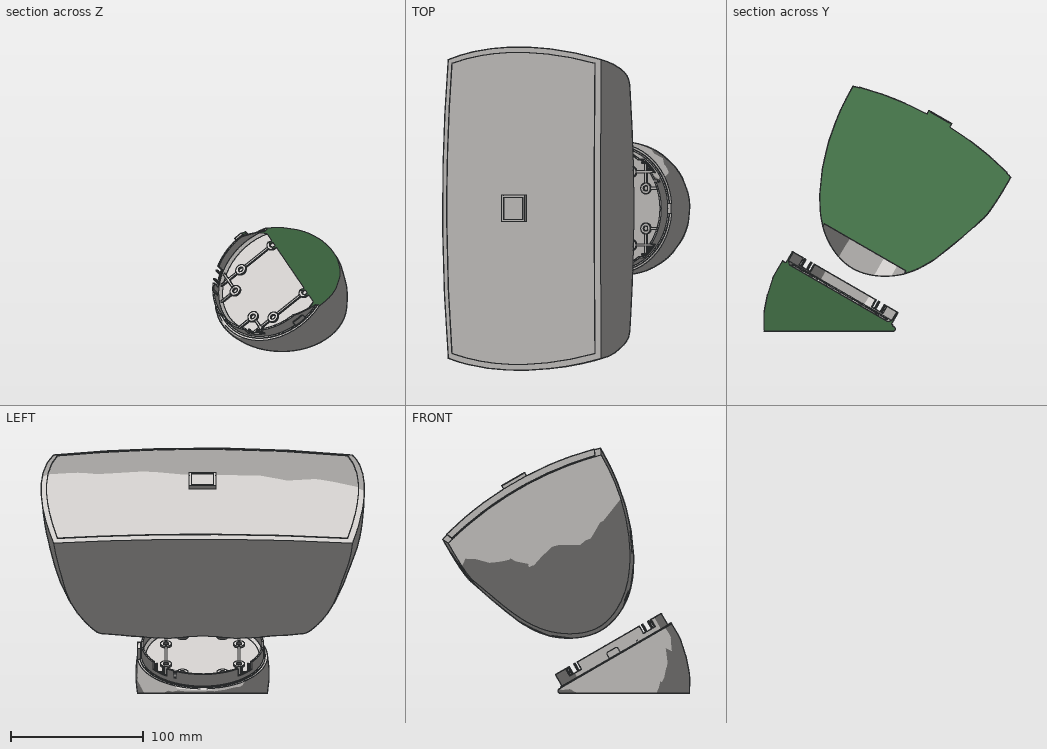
import cadquery as cq
import math

TILT = 30.0
CABINET_OFFSET = 8.0
FACE_EDGE_HEIGHT = 169.1
HALF_WIDTH = 68.6
BACK_HEIGHT = 48.7
HALF_LENGTH = 122.0
BACK_SPANS = 8
FACE_CROWN = 9.5
FACE_SAG = 5.5
WIDTH_TAPER = 2.7
BACK_RISE = 12.2
END_BOW = 8.5
FLAT_HALF_LENGTH = 58.5
END_OUTLINE = [(113.0, 121.7), (101.7, 90.8), (83.2, 65.0)]
END_SHALLOWING = 0.15
END_SECTION_REACH = 69.4
CABINET_TOP = 187.5
END_SLOPE = 0.2
END_BOTTOM = 48.0

GRILLE_INSET = 4.6
GRILLE_STEP = 0.5
GRILLE_BASE = 146.0
CORNER_HALF_LENGTH = 113.7
CORNER_HALF_WIDTH = 66.7

SOCKET_DIAMETER = 70.5
SOCKET_CEILING = 68.1

BADGE_SIZE = 20.0
BADGE_TOP = 181.3
BADGE_THICKNESS = 3.7
BADGE_RIM = 1.7
BADGE_RECESS = 0.5

FOOT_DIAMETER = 97.8
BEND_DIAMETER = 100.3
BEND_CENTER = (-1.7, 14.5)
FLANGE_CENTER = (-6.8, 27.7)
FLANGE_THICKNESS = 1.2
FLANGE_STEP = 0.7
COLLAR_FOOT_WIDTH = 1.2
COLLAR_FOOT_HEIGHT = 0.7

COLLAR_DIAMETER = 92.0
COLLAR_HEIGHT = 10.7
COLLAR_WALL = 1.2
FLOOR_HEIGHT = 1.0
FLOOR_CHAMFER = 2.2

BOSS_DIAMETER = 8.3
BOSS_HOLE = 4.0
BOSS_HEIGHT = 1.5
BOSS_NEAR = 15.0
BOSS_FAR = 27.5
RIB_WIDTH = 1.7
RIB_HEIGHT = 1.2

NOTCH_HALF_ANGLE = 9.0
NOTCH_FLOOR = 4.5
POST_ANGLE = 4.6
POST_WIDTH = 0.7
DIAGONALS = (45, 135, 225, 315)
SLOT_WIDTH = 1.7
SLOT_FLOOR = 4.9
SLOT_OFFSET = 20.7

PAD_WIDTH = 9.5
PAD_HEIGHT = 5.5
PAD_RAISE = 0.7
PAD_CORNER = 1.5
KEY_WIDTH = 7.3
KEY_HEIGHT = 1.0
LUG_HEIGHT = 9.5
LUG_THICKNESS = 2.2

TOOL_REACH = 4.9


def tilted(body, center):
    """Lean a body built along Z by TILT and move its origin to (X, Z) center."""
    return body.rotate((0, 0, 0), (0, 1, 0), -TILT).translate((center[0], 0, center[1]))


def cross_section(y, drop):
    """Crowned front and half-ellipse back of the cabinet at one place along Y."""
    ends = (y / HALF_LENGTH) ** 2
    half_width = HALF_WIDTH - WIDTH_TAPER * ends
    edge = FACE_EDGE_HEIGHT - FACE_SAG * ends - drop
    depth = edge - BACK_HEIGHT - BACK_RISE * ends
    angles = [math.pi * i / BACK_SPANS for i in range(1, BACK_SPANS + 1)]
    back = [(half_width * math.cos(a), edge - depth * math.sin(a)) for a in angles]
    return (
        cq.Workplane("XZ", origin=(0, y, 0))
        .moveTo(-half_width, edge)
        .threePointArc((0, edge + FACE_CROWN), (half_width, edge))
        .spline(back, tangents=[(0, -1), (0, 1)], includeCurrent=True)
        .wire()
        .val()
    )


def end_section(x):
    """Outline of the two end surfaces, lengthwise through the cabinet."""
    bow = END_BOW * (x / CORNER_HALF_WIDTH) ** 2
    depth_scale = 1 - END_SHALLOWING * (x / END_SECTION_REACH) ** 2
    outline = [(HALF_LENGTH, CABINET_TOP), *END_OUTLINE, (FLAT_HALF_LENGTH, END_BOTTOM)]
    right = [(y - bow, CABINET_TOP - (CABINET_TOP - z) * depth_scale) for y, z in outline]
    left = [(-y, z) for y, z in reversed(right)]
    return (
        cq.Workplane("YZ", origin=(x, 0, 0))
        .moveTo(*left[-1])
        .lineTo(*right[0])
        .spline(right[1:], tangents=[(0, -1), (-1, -END_SLOPE)], includeCurrent=True)
        .lineTo(*left[0])
        .spline(left[1:], tangents=[(-1, END_SLOPE), (0, 1)], includeCurrent=True)
        .close()
        .val()
    )


def cabinet_shell(drop):
    """Cabinet block whose front face lies lower by drop."""
    tube = cq.Solid.makeLoft([cross_section(y, drop) for y in (-HALF_LENGTH, 0, HALF_LENGTH)])
    ends = cq.Solid.makeLoft([end_section(x) for x in (-END_SECTION_REACH, 0, END_SECTION_REACH)])
    return cq.Workplane(tube).intersect(cq.Workplane(ends))


def grille_block():
    """Prism with four bowed sides that bounds the grille panel."""
    x = CORNER_HALF_WIDTH - GRILLE_INSET
    y = CORNER_HALF_LENGTH - GRILLE_INSET
    x_mid = HALF_WIDTH - GRILLE_INSET
    y_mid = HALF_LENGTH - GRILLE_INSET
    return (
        cq.Workplane("XY", origin=(0, 0, GRILLE_BASE))
        .moveTo(-x, -y)
        .threePointArc((0, -y_mid), (x, -y))
        .threePointArc((x_mid, 0), (x, y))
        .threePointArc((0, y_mid), (-x, y))
        .threePointArc((-x_mid, 0), (-x, -y))
        .close()
        .extrude(CABINET_TOP - GRILLE_BASE)
    )


def badge():
    """Square badge plate with a raised rim."""
    window = BADGE_SIZE - 2 * BADGE_RIM
    return (
        cq.Workplane("XY", origin=(0, 0, BADGE_TOP - BADGE_THICKNESS))
        .rect(BADGE_SIZE, BADGE_SIZE)
        .extrude(BADGE_THICKNESS)
        .faces(">Z")
        .workplane()
        .rect(window, window)
        .cutBlind(-BADGE_RECESS)
    )


def socket():
    """Cutter for the round recess in the back."""
    return cq.Workplane("XY").circle(SOCKET_DIAMETER / 2).extrude(SOCKET_CEILING)


def build_cabinet():
    """Cabinet with grille panel, badge and back recess in its leaning position."""
    panel = cabinet_shell(0).intersect(grille_block())
    body = cabinet_shell(GRILLE_STEP).union(panel).union(badge()).cut(socket())
    return tilted(body.translate((CABINET_OFFSET, 0, 0)), (0, 0))


def circle_wire(diameter, center, angle):
    """Circle centred at (X, Z) center whose plane leans by angle."""
    normal = cq.Vector(-math.sin(math.radians(angle)), 0, math.cos(math.radians(angle)))
    plane = cq.Plane(origin=(center[0], 0, center[1]), xDir=(0, 1, 0), normal=normal)
    return cq.Workplane(plane).circle(diameter / 2).wire().val()


def bend():
    """Wedge-shaped elbow from the flat foot to the leaning flange."""
    wires = [
        circle_wire(FOOT_DIAMETER, (0, 0), 0),
        circle_wire(BEND_DIAMETER, BEND_CENTER, TILT / 2),
        circle_wire(FOOT_DIAMETER, FLANGE_CENTER, TILT),
    ]
    return cq.Workplane(cq.Solid.makeLoft(wires))


def at_angle(body, angle):
    """Turn a body about the collar axis."""
    return body.rotate((0, 0, 0), (0, 0, 1), angle)


def collar_ring(radius, wall, bottom, top):
    """Ring of the given outer radius and wall between two levels."""
    return (
        cq.Workplane("XY", origin=(0, 0, bottom))
        .circle(radius)
        .circle(radius - wall)
        .extrude(top - bottom)
    )


def collar():
    """Thin wall with a bevelled floor, four snap notches and two slots."""
    radius = COLLAR_DIAMETER / 2
    inner = radius - COLLAR_WALL
    wall = collar_ring(radius, COLLAR_WALL, 0, COLLAR_HEIGHT)
    reach = radius + TOOL_REACH
    half = reach * math.tan(math.radians(NOTCH_HALF_ANGLE))
    notch = (
        cq.Workplane("XY", origin=(0, 0, NOTCH_FLOOR))
        .polyline([(0, 0), (reach, -half), (reach, half)])
        .close()
        .extrude(COLLAR_HEIGHT)
    )
    post_height = COLLAR_HEIGHT - NOTCH_FLOOR
    post = (
        cq.Workplane("XY", origin=(radius - COLLAR_WALL / 2, 0, NOTCH_FLOOR))
        .rect(COLLAR_WALL, POST_WIDTH)
        .extrude(post_height)
    )
    for diagonal in DIAGONALS:
        wall = wall.cut(at_angle(notch, diagonal))
        for side in (-POST_ANGLE, POST_ANGLE):
            wall = wall.union(at_angle(post, diagonal + side))
    slot = (
        cq.Workplane("XY", origin=(0, SLOT_OFFSET, SLOT_FLOOR))
        .rect(2 * reach, SLOT_WIDTH)
        .extrude(COLLAR_HEIGHT)
    )
    floor = cq.Workplane("XY").circle(radius).extrude(FLOOR_HEIGHT + FLOOR_CHAMFER)
    dish = (
        cq.Workplane("XY", origin=(0, 0, FLOOR_HEIGHT))
        .circle(inner - FLOOR_CHAMFER)
        .workplane(offset=FLOOR_CHAMFER)
        .circle(inner)
        .loft()
    )
    return wall.cut(slot).union(floor.cut(dish))


def floor_ribs():
    """Eight ring bosses on a grid of ribs that runs out to the collar."""
    radius = (COLLAR_DIAMETER - COLLAR_WALL) / 2
    far_reach = math.sqrt(radius**2 - BOSS_FAR**2)
    near_reach = math.sqrt(radius**2 - BOSS_NEAR**2)
    cross_length = far_reach - BOSS_NEAR
    stub_length = near_reach - BOSS_FAR
    base = cq.Workplane("XY", origin=(0, 0, FLOOR_HEIGHT))
    bosses = []
    cross_ribs = []
    stub_ribs = []
    for x in (-1, 1):
        for y in (-1, 1):
            bosses += [(x * BOSS_FAR, y * BOSS_NEAR), (x * BOSS_NEAR, y * BOSS_FAR)]
            cross_ribs.append((x * BOSS_FAR, y * (BOSS_NEAR + cross_length / 2)))
            stub_ribs.append((x * (BOSS_FAR + stub_length / 2), y * BOSS_NEAR))
    long_ribs = [(0, -BOSS_FAR), (0, BOSS_FAR)]
    return (
        base.pushPoints(long_ribs).rect(2 * far_reach, RIB_WIDTH).extrude(RIB_HEIGHT)
        .union(base.pushPoints(cross_ribs).rect(RIB_WIDTH, cross_length).extrude(RIB_HEIGHT))
        .union(base.pushPoints(stub_ribs).rect(stub_length, RIB_WIDTH).extrude(RIB_HEIGHT))
        .union(base.pushPoints(bosses).circle(BOSS_DIAMETER / 2).extrude(BOSS_HEIGHT))
        .cut(base.pushPoints(bosses).circle(BOSS_HOLE / 2).extrude(BOSS_HEIGHT))
    )


def lugs():
    """Raised pad, flange key and upright lug around the collar."""
    radius = COLLAR_DIAMETER / 2
    flange_radius = FOOT_DIAMETER / 2
    key_depth = flange_radius - radius + COLLAR_WALL / 2
    pad = (
        cq.Workplane("XZ")
        .rect(PAD_WIDTH, 2 * PAD_HEIGHT)
        .extrude(radius + TOOL_REACH)
        .edges("|Y")
        .fillet(PAD_CORNER)
        .intersect(collar_ring(radius + PAD_RAISE, COLLAR_WALL, 0, PAD_HEIGHT))
    )
    key = (
        cq.Workplane("XY")
        .center(flange_radius, 0)
        .rect(flange_radius, KEY_WIDTH)
        .extrude(KEY_HEIGHT)
        .intersect(collar_ring(flange_radius, key_depth, 0, KEY_HEIGHT))
    )
    upright = (
        cq.Workplane("XY")
        .center(0, flange_radius)
        .rect(PAD_WIDTH, flange_radius)
        .extrude(LUG_HEIGHT)
        .intersect(collar_ring(flange_radius, LUG_THICKNESS, 0, LUG_HEIGHT))
    )
    return pad.union(key).union(upright)


def build_mount():
    """Wall mount: bend with flange, collar, floor ribs and lugs."""
    flange = (
        cq.Workplane("XY", origin=(0, 0, -FLANGE_THICKNESS))
        .circle(FOOT_DIAMETER / 2 - FLANGE_STEP)
        .extrude(FLANGE_THICKNESS)
    )
    step = (
        cq.Workplane("XY")
        .circle(COLLAR_DIAMETER / 2 + COLLAR_FOOT_WIDTH)
        .extrude(COLLAR_FOOT_HEIGHT)
    )
    head = flange.union(step).union(collar()).union(floor_ribs()).union(lugs())
    return bend().union(tilted(head, FLANGE_CENTER))


cabinet = build_cabinet()
mount = build_mount()
result = cq.Compound.makeCompound([cabinet.val(), mount.val()])